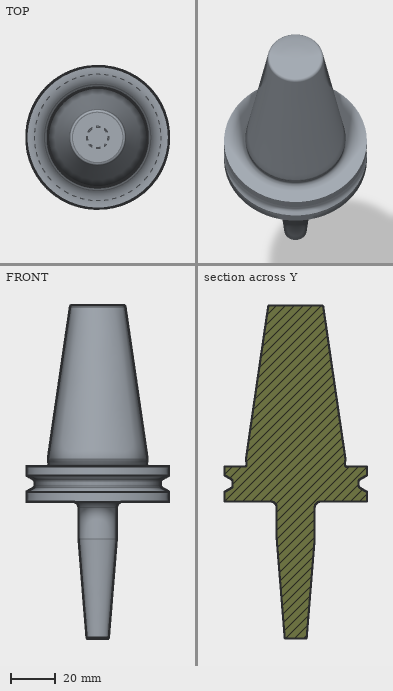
import cadquery as cq
import math


gauge_diameter = 44.45
shank_length = 68.4
taper_ratio = 7 / 24
shank_end_radius = 1.2

neck_length = 3.2
undercut_start_z = -0.6
undercut_ramp_length = 0.9
undercut_ramp_angle = math.radians(15)
undercut_radius = 0.7
undercut_face_depth = 0.2
undercut_outer_diameter = 47.3

flange_diameter = 63.55
flange_thickness = 15.9
groove_floor_diameter = 56.25
groove_center_z = -11.0
groove_width = 7.3
groove_floor_fillet = 0.8
groove_half_angle = math.radians(30)

nose_reach = 80.0
nose_diameter = 17.1
nose_fillet = 2.5
taper_start_z = -35.6
tip_diameter = 10.0
tip_chamfer = 0.5

flange_top_z = -neck_length
flange_bottom_z = flange_top_z - flange_thickness
gauge_radius = gauge_diameter / 2
flange_radius = flange_diameter / 2
nose_radius = nose_diameter / 2
tip_radius = tip_diameter / 2


def shank_radius(z):
    """Radius of the steep taper at height z."""
    return gauge_radius - z * taper_ratio / 2


def revolve_about_z(profile):
    """Full turn of an XZ profile about the Z axis."""
    return profile.revolve(360, (0, 0, 0), (0, 1, 0))


def make_body():
    """Solid of revolution: shank, neck, plain flange and nose."""
    nose_fillet_mid = nose_fillet * (1 - math.sin(math.pi / 4))

    taper_angle = math.atan(taper_ratio / 2)
    round_center_z = shank_length - shank_end_radius
    round_center_radius = shank_radius(round_center_z) - shank_end_radius / math.cos(taper_angle)
    round_mid_angle = (math.pi / 2 + taper_angle) / 2

    def round_point(angle):
        return (
            round_center_radius + shank_end_radius * math.cos(angle),
            round_center_z + shank_end_radius * math.sin(angle),
        )

    profile = (
        cq.Workplane("XZ")
        .moveTo(0, shank_length)
        .lineTo(round_center_radius, shank_length)
        .threePointArc(round_point(round_mid_angle), round_point(taper_angle))
        .lineTo(gauge_radius, 0)
        .lineTo(gauge_radius, flange_top_z)
        .lineTo(flange_radius, flange_top_z)
        .lineTo(flange_radius, flange_bottom_z)
        .lineTo(nose_radius + nose_fillet, flange_bottom_z)
        .threePointArc(
            (nose_radius + nose_fillet_mid, flange_bottom_z - nose_fillet_mid),
            (nose_radius, flange_bottom_z - nose_fillet),
        )
        .lineTo(nose_radius, taper_start_z)
        .lineTo(tip_radius, tip_chamfer - nose_reach)
        .lineTo(tip_radius - tip_chamfer, -nose_reach)
        .lineTo(0, -nose_reach)
        .close()
    )
    return revolve_about_z(profile)


def make_neck_undercut():
    """Ring-shaped cutter for the relief between the neck and the flange face."""
    outer_radius = undercut_outer_diameter / 2
    neck_radius = gauge_radius - undercut_ramp_length * math.tan(undercut_ramp_angle)
    floor_z = flange_top_z - undercut_face_depth
    fillet_mid = undercut_radius * (1 - math.sin(math.pi / 4))
    profile = (
        cq.Workplane("XZ")
        .moveTo(gauge_radius, undercut_start_z)
        .lineTo(neck_radius, undercut_start_z - undercut_ramp_length)
        .lineTo(neck_radius, floor_z + undercut_radius)
        .threePointArc(
            (neck_radius + fillet_mid, floor_z + fillet_mid),
            (neck_radius + undercut_radius, floor_z),
        )
        .lineTo(outer_radius, flange_top_z)
        .lineTo(outer_radius, undercut_start_z)
        .close()
    )
    return revolve_about_z(profile)


def make_gripper_groove():
    """Ring-shaped cutter for the V-groove, with filleted floor corners."""
    floor_radius = groove_floor_diameter / 2
    depth = flange_radius - floor_radius
    half_width = groove_width / 2
    floor_half_width = half_width - depth * math.tan(groove_half_angle)
    profile = (
        cq.Workplane("XZ")
        .moveTo(floor_radius, groove_center_z + floor_half_width)
        .lineTo(flange_radius, groove_center_z + half_width)
        .lineTo(flange_radius, groove_center_z - half_width)
        .lineTo(floor_radius, groove_center_z - floor_half_width)
        .close()
    )
    ring = revolve_about_z(profile)
    floor_corners = cq.selectors.RadiusNthSelector(0)
    return ring.edges("%CIRCLE").edges(floor_corners).fillet(groove_floor_fillet)


result = make_body().cut(make_neck_undercut()).cut(make_gripper_groove())